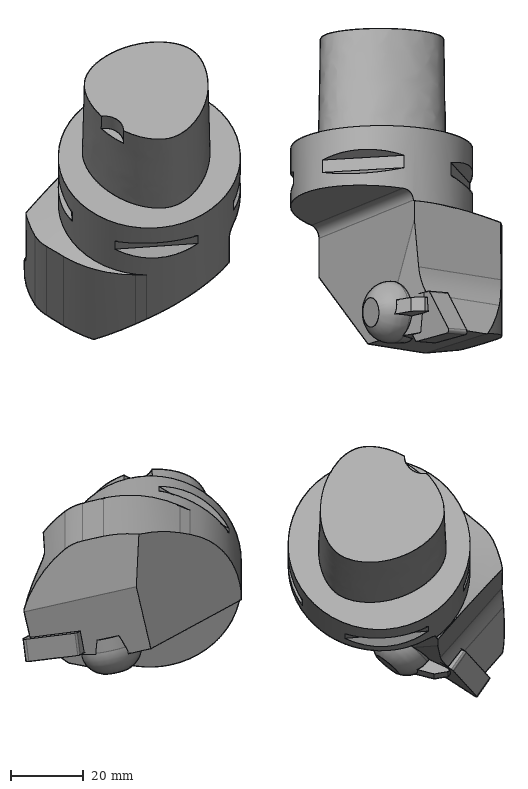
import cadquery as cq
import math

SPAN = 180.0

SHANK_LENGTH = 30.0
SHANK_BASE_RADIUS = 17.55
SHANK_TOP_RADIUS = 17.0
LOBE_RISE = 1.0
OUTLINE_POINTS = 24
NOTCH_RADIUS = 5.1
NOTCH_DEPTH = 5.4
NOTCH_APEX_Y = -13.9

FLANGE_RADIUS = 50.0 / 2
FLANGE_HEIGHT = 20.9
GROOVE_MID_Z = -10.0
GROOVE_FLOOR_RADIUS = 22.2
GROOVE_FLOOR_HEIGHT = 3.5
GROOVE_WALL_ANGLE = 30.0
GROOVE_COUNT = 4

BLEND_ANGLE = 38.3
BLEND_FLAT = 3.1
FRONT_Y = -28.6
FRONT_FLAT_START_X = -12.9
FRONT_FLAT_END_X = -6.8
NOSE_ARC_END = (-17.9, -27.5)
NOSE_ARC_MID = (-26.0, -22.05)
NOSE_ARC_START = (-32.85, -13.4)
HEAD_BOTTOM_Z = -58.0
SHOULDER_ANGLE = 15.5
SIDE_TOP_X = -25.2
SIDE_KNEE = (-24.6, -43.7)
SIDE_TOE_X = -32.6
SIDE_RADIUS = 15.3
RELIEF_TOP_Z = -31.3
RELIEF_END = (-1.0, -56.4)
BOTTOM_RIDGE_Y = -13.5
BOTTOM_SLOPE = 0.25

BACK_Y = 5.0
BACK_ROOF_Z = -16.1
BACK_ROOF_ANGLE = 5.0
BACK_ROOF_RADIUS = 3.15
FACET_POINT = (-24.6, 3.4, -39.8)
FACET_NORMAL = (-0.24, 1.0, -0.13)

BOSS_CENTER = (-12.15, 4.0, -49.7)
BOSS_TILT = 8.5
BOSS_RADIUS = 8.5
BOSS_HEIGHT = 7.2
BOSS_TOP_RADIUS = 4.05
BOSS_ARC_MID = (7.2, 4.8)
BOSS_ROOT_DEPTH = 3.6
FINGER_END = (-26.8, 2.7)
FINGER_SLOPE_TOP = (-24.3, 5.7)
FINGER_RIDGE = (-18.9, 8.1)
FINGER_ROOT_Y = 0.45
FINGER_MID_Z = -50.4
FINGER_WIDTH = 4.0

TOTAL_LENGTH = 90.0
NOSE_SETBACK = 0.05
INSERT_TIP = (-35.7, 0.1, SHANK_LENGTH - TOTAL_LENGTH - NOSE_SETBACK)
INSERT_TILT_X = 0.095
INSERT_TILT_Z = 0.09
INSERT_EDGE = 15.5
INSERT_THICKNESS = 6.4
INSERT_LEAD = 2.0
INSERT_CORNER = 57.0
INSERT_NOSE_RADIUS = 0.8


def lobed_outline(z, mean_radius):
    """Constant-width three-lobed curve with one lobe toward +Y."""
    def point(turn):
        angle = 2 * math.pi * turn
        reach = mean_radius - LOBE_RISE * math.sin(3 * angle)
        slope = -3 * LOBE_RISE * math.cos(3 * angle)
        return (
            reach * math.cos(angle) - slope * math.sin(angle),
            reach * math.sin(angle) + slope * math.cos(angle),
        )

    points = [point(index / OUTLINE_POINTS) for index in range(OUTLINE_POINTS)]
    return cq.Workplane("XY").workplane(offset=z).spline(points, periodic=True).wire().val()


def make_shank():
    wires = [lobed_outline(0, SHANK_BASE_RADIUS), lobed_outline(SHANK_LENGTH, SHANK_TOP_RADIUS)]
    shank = cq.Workplane(cq.Solid.makeLoft(wires, True))
    notch = (
        cq.Workplane("XY", origin=(0, NOTCH_APEX_Y - NOTCH_RADIUS, SHANK_LENGTH - NOTCH_DEPTH))
        .circle(NOTCH_RADIUS)
        .extrude(NOTCH_DEPTH)
    )
    return shank.cut(notch)


def make_flange():
    flange = cq.Workplane("XY").circle(FLANGE_RADIUS).extrude(-FLANGE_HEIGHT)
    depth = FLANGE_RADIUS - GROOVE_FLOOR_RADIUS
    floor_half = GROOVE_FLOOR_HEIGHT / 2
    mouth_half = floor_half + depth * math.tan(math.radians(GROOVE_WALL_ANGLE))
    groove = (
        cq.Workplane("XZ")
        .polyline([
            (GROOVE_FLOOR_RADIUS, GROOVE_MID_Z - floor_half),
            (FLANGE_RADIUS, GROOVE_MID_Z - mouth_half),
            (FLANGE_RADIUS, GROOVE_MID_Z + mouth_half),
            (GROOVE_FLOOR_RADIUS, GROOVE_MID_Z + floor_half),
        ])
        .close()
        .extrude(FLANGE_RADIUS, both=True)
    )
    pitch = 360 / GROOVE_COUNT
    for index in range(GROOVE_COUNT):
        flange = flange.cut(groove.rotate((0, 0, 0), (0, 0, 1), pitch * (index + 0.5)))
    return flange


def head_prism():
    """Vertical walls of the head: flange circle, blend, front flat and nose."""
    blend = math.radians(BLEND_ANGLE)
    rim = (FLANGE_RADIUS * math.sin(blend), -FLANGE_RADIUS * math.cos(blend))
    flat_end = (rim[0] - BLEND_FLAT * math.cos(blend), rim[1] - BLEND_FLAT * math.sin(blend))
    back_x = math.sqrt(FLANGE_RADIUS**2 - BACK_Y**2)
    return (
        cq.Workplane("XY")
        .workplane(offset=-FLANGE_HEIGHT)
        .moveTo(back_x, BACK_Y)
        .threePointArc((FLANGE_RADIUS, 0), rim)
        .lineTo(*flat_end)
        .tangentArcPoint((FRONT_FLAT_END_X, FRONT_Y), relative=False)
        .lineTo(FRONT_FLAT_START_X, FRONT_Y)
        .tangentArcPoint(NOSE_ARC_END, relative=False)
        .threePointArc(NOSE_ARC_MID, NOSE_ARC_START)
        .lineTo(NOSE_ARC_START[0], BACK_Y)
        .close()
        .extrude(HEAD_BOTTOM_Z + FLANGE_HEIGHT)
    )


def head_side_profile():
    """Hollow left side, bottom and slanted relief, as a prism along Y."""
    return (
        cq.Workplane("XZ")
        .polyline([
            (SIDE_TOP_X, -FLANGE_HEIGHT),
            SIDE_KNEE,
            (SIDE_TOE_X, HEAD_BOTTOM_Z),
            RELIEF_END,
            (FLANGE_RADIUS, RELIEF_TOP_Z),
            (FLANGE_RADIUS, -FLANGE_HEIGHT),
        ])
        .close()
        .extrude(SPAN / 2, both=True)
        .edges(cq.selectors.NearestToPointSelector((SIDE_KNEE[0], 0, SIDE_KNEE[1])))
        .fillet(SIDE_RADIUS)
    )


def shoulder_cutter():
    fall = (SPAN - FLANGE_RADIUS) * math.tan(math.radians(SHOULDER_ANGLE))
    return (
        cq.Workplane("XZ")
        .polyline([
            (FLANGE_RADIUS, -FLANGE_HEIGHT),
            (SPAN, -FLANGE_HEIGHT),
            (SPAN, -FLANGE_HEIGHT - fall),
        ])
        .close()
        .revolve(360, (0, 0, 0), (0, 1, 0))
    )


def bottom_cutter():
    """Space under the tilted plane that rises toward the front of the head."""
    along = (RELIEF_END[0] - SIDE_TOE_X, 0, RELIEF_END[1] - HEAD_BOTTOM_Z)
    bottom_rise = along[2] / along[0]
    plane = cq.Plane(
        origin=(SIDE_TOE_X, BOTTOM_RIDGE_Y, HEAD_BOTTOM_Z),
        xDir=along,
        normal=(bottom_rise, -BOTTOM_SLOPE, -1),
    )
    return cq.Workplane(plane).rect(SPAN, SPAN).extrude(SPAN)


def facet_cutter():
    block = cq.Workplane(cq.Plane(FACET_POINT, (1, -FACET_NORMAL[0], 0), FACET_NORMAL))
    block = block.rect(SPAN, SPAN).extrude(SPAN)
    below_flange = cq.Workplane("XY").workplane(offset=-FLANGE_HEIGHT).rect(2 * SPAN, 2 * SPAN).extrude(-SPAN)
    return block.intersect(below_flange)


def back_cutter():
    """Clearance under the rear half of the flange, with a rounded inner corner."""
    fall = (FLANGE_RADIUS - BACK_Y) * math.tan(math.radians(BACK_ROOF_ANGLE))
    return (
        cq.Workplane("YZ")
        .polyline([
            (FLANGE_RADIUS, BACK_ROOF_Z),
            (BACK_Y, BACK_ROOF_Z - fall),
            (BACK_Y, -SPAN),
            (FLANGE_RADIUS, -SPAN),
        ])
        .close()
        .extrude(SPAN / 2, both=True)
        .edges(cq.selectors.NearestToPointSelector((0, BACK_Y, BACK_ROOF_Z - fall)))
        .fillet(BACK_ROOF_RADIUS)
    )


def make_boss():
    return (
        cq.Workplane("XY")
        .moveTo(0, -BOSS_ROOT_DEPTH)
        .lineTo(BOSS_RADIUS, -BOSS_ROOT_DEPTH)
        .lineTo(BOSS_RADIUS, 0)
        .threePointArc(BOSS_ARC_MID, (BOSS_TOP_RADIUS, BOSS_HEIGHT))
        .lineTo(0, BOSS_HEIGHT)
        .close()
        .revolve(360, (0, 0, 0), (0, 1, 0))
        .rotate((0, 0, 0), (1, 0, 0), -BOSS_TILT)
        .translate(BOSS_CENTER)
    )


def make_finger():
    return (
        cq.Workplane("XY")
        .workplane(offset=FINGER_MID_Z)
        .polyline([
            (FINGER_END[0], FINGER_ROOT_Y),
            FINGER_END,
            FINGER_SLOPE_TOP,
            FINGER_RIDGE,
            (BOSS_CENTER[0], FINGER_RIDGE[1]),
            (BOSS_CENTER[0], FINGER_ROOT_Y),
        ])
        .close()
        .extrude(FINGER_WIDTH / 2, both=True)
    )


def make_head():
    head = head_prism().intersect(head_side_profile())
    return head.cut(shoulder_cutter()).cut(bottom_cutter()).cut(facet_cutter())


def make_insert():
    plane = cq.Plane(
        origin=INSERT_TIP,
        xDir=(1, INSERT_TILT_X, 0),
        normal=(INSERT_TILT_X, -1, INSERT_TILT_Z),
    )
    lead = math.radians(INSERT_LEAD)
    flank = math.radians(INSERT_LEAD + INSERT_CORNER)
    bottom_end = (INSERT_EDGE * math.cos(lead), INSERT_EDGE * math.sin(lead))
    flank_end = (INSERT_EDGE * math.cos(flank), INSERT_EDGE * math.sin(flank))
    far_corner = (bottom_end[0] + flank_end[0], bottom_end[1] + flank_end[1])
    return (
        cq.Workplane(plane)
        .polyline([(0, 0), bottom_end, far_corner, flank_end])
        .close()
        .extrude(INSERT_THICKNESS)
        .edges(cq.selectors.ParallelDirSelector(plane.zDir))
        .fillet(INSERT_NOSE_RADIUS)
    )


insert = make_insert()

holder = make_flange().union(make_head()).cut(back_cutter()).union(make_shank())
holder = holder.union(make_boss()).union(make_finger()).cut(insert)

result = cq.Compound.makeCompound([holder.val(), insert.val()])